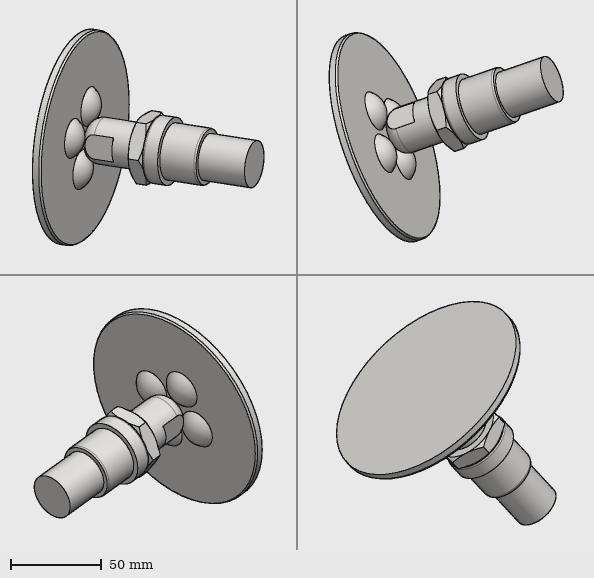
import cadquery as cq
import math

overall_length = 107.0

disc_diameter = 119.9
disc_thickness = 5.0
disc_chamfer_length = 1.2
disc_chamfer_depth = 0.7
dome_diameter = 26.4
dome_height = 6.1
dome_count = 4
dome_circle_radius = 17.5
dome_start_angle = 18.0

stem_diameter = 26.1
stem_start = 7.0
stem_nose_radius = 8.4
stem_flat_spacing = 22.0
stem_flat_end = 27.0

nut_start = 39.0
nut_thickness = 8.9
nut_across_flats = 36.0
nut_chamfer_angle = 30.0

collar_end = 57.2
collar_diameter = 38.0
barrel_end = 78.9
barrel_diameter = 32.0
tube_diameter = 26.4
sleeve_chamfer_length = 1.2
sleeve_chamfer_depth = 0.4

nut_end = nut_start + nut_thickness


def cylinder_along_x(diameter, start, end):
    return cq.Workplane("YZ").workplane(offset=start).circle(diameter / 2).extrude(end - start)


def revolve_about_x(profile):
    """Revolve a closed profile, drawn as X and radius, about the X axis."""
    return profile.close().revolve(360, (0, 0, 0), (1, 0, 0))


def make_dome():
    """Spherical cap on the X axis with its base at X = 0."""
    radius = dome_diameter / 2
    base_radius = math.sqrt(radius**2 - (radius - dome_height) ** 2)
    half_angle = math.asin(base_radius / radius) / 2
    arc_middle = (dome_height - radius + radius * math.cos(half_angle), radius * math.sin(half_angle))
    return revolve_about_x(
        cq.Workplane("XY").lineTo(0, base_radius).threePointArc(arc_middle, (dome_height, 0))
    )


def make_disc():
    radius = disc_diameter / 2
    disc = revolve_about_x(
        cq.Workplane("XY")
        .lineTo(0, radius)
        .lineTo(disc_thickness - disc_chamfer_length, radius)
        .lineTo(disc_thickness, radius - disc_chamfer_depth)
        .lineTo(disc_thickness, 0)
    )
    for index in range(dome_count):
        angle = math.radians(dome_start_angle + index * 360 / dome_count)
        dome_y = dome_circle_radius * math.sin(angle)
        dome_z = dome_circle_radius * math.cos(angle)
        disc = disc.union(make_dome().translate((disc_thickness, dome_y, dome_z)))
    return disc


def make_stem():
    radius = stem_diameter / 2
    nose_end = stem_start + stem_nose_radius
    nose_flat_radius = radius - stem_nose_radius
    diagonal = stem_nose_radius * math.sqrt(0.5)
    stem = revolve_about_x(
        cq.Workplane("XY")
        .moveTo(stem_start, 0)
        .lineTo(stem_start, nose_flat_radius)
        .threePointArc((nose_end - diagonal, nose_flat_radius + diagonal), (nose_end, radius))
        .lineTo(nut_end, radius)
        .lineTo(nut_end, 0)
    )
    for side in (-1, 1):
        flat_cutter = cq.Workplane("XY").box(2 * stem_flat_end, stem_diameter, stem_diameter)
        stem = stem.cut(flat_cutter.translate((0, side * (stem_flat_spacing + stem_diameter) / 2, 0)))
    return stem


def make_nut():
    corner_diameter = nut_across_flats / math.cos(math.pi / 6)
    flat_radius = nut_across_flats / 2
    corner_radius = corner_diameter / 2
    chamfer_length = (corner_radius - flat_radius) * math.tan(math.radians(nut_chamfer_angle))
    hexagon = (
        cq.Workplane("YZ").workplane(offset=nut_start).polygon(6, corner_diameter).extrude(nut_thickness)
    )
    chamfer_envelope = revolve_about_x(
        cq.Workplane("XY")
        .moveTo(nut_start, 0)
        .lineTo(nut_start, flat_radius)
        .lineTo(nut_start + chamfer_length, corner_radius)
        .lineTo(nut_end - chamfer_length, corner_radius)
        .lineTo(nut_end, flat_radius)
        .lineTo(nut_end, 0)
    )
    return hexagon.intersect(chamfer_envelope).cut(cylinder_along_x(stem_diameter, nut_start, nut_end))


def make_sleeve():
    collar_radius = collar_diameter / 2
    barrel_radius = barrel_diameter / 2
    tube_radius = tube_diameter / 2
    return revolve_about_x(
        cq.Workplane("XY")
        .moveTo(nut_end, 0)
        .lineTo(nut_end, collar_radius - sleeve_chamfer_depth)
        .lineTo(nut_end + sleeve_chamfer_length, collar_radius)
        .lineTo(collar_end, collar_radius)
        .lineTo(collar_end, barrel_radius)
        .lineTo(barrel_end - sleeve_chamfer_length, barrel_radius)
        .lineTo(barrel_end, barrel_radius - sleeve_chamfer_depth)
        .lineTo(barrel_end, tube_radius)
        .lineTo(overall_length, tube_radius)
        .lineTo(overall_length, 0)
    )


disc = make_disc()
stem = make_stem()
nut = make_nut()
sleeve = make_sleeve()

result = cq.Compound.makeCompound([disc.val(), stem.val(), nut.val(), sleeve.val()])